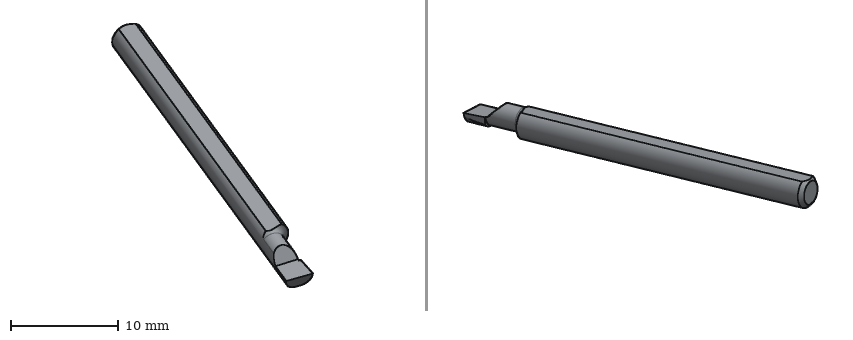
import cadquery as cq
import math

length = 38.1
shank_diameter = 3.15
height = 2.9
rear_chamfer = 0.42
neck_radius = 1.22
neck_axis_y = -0.45
neck_start = 32.58
shoulder_radius = 0.7
rake_floor_end = 35.65
head_start = 35.85
head_root_y = 0.95
tip_y = 1.15
end_setback = 0.1
clearance_angle = 8.0

shank_radius = shank_diameter / 2
flat_z = height - shank_radius
shoulder_start = neck_start - shoulder_radius
cut_reach = shank_diameter


def cylinder_along_x(start, end, radius, axis_y=0.0):
    """Round bar parallel to X."""
    return cq.Workplane("YZ", origin=(start, axis_y, 0)).circle(radius).extrude(end - start)


def flatted_shank():
    """Full-length round bar with a rear chamfer and a flat along the top."""
    bar = cylinder_along_x(0, length, shank_radius).faces("<X").chamfer(rear_chamfer)
    above_flat = (
        cq.Workplane("XY", origin=(0, 0, flat_z))
        .rect(2 * length, 2 * cut_reach)
        .extrude(cut_reach)
    )
    return bar.cut(above_flat)


def neck_envelope():
    """Space kept for the shank, the filleted shoulder and the eccentric neck."""
    behind = cylinder_along_x(0, shoulder_start, cut_reach)
    fillet_top = neck_radius + shoulder_radius
    arc_drop = shoulder_radius * math.sqrt(0.5)
    front = (
        cq.Workplane("XY", origin=(0, neck_axis_y, 0))
        .moveTo(shoulder_start, 0)
        .lineTo(shoulder_start, fillet_top)
        .threePointArc((neck_start - arc_drop, fillet_top - arc_drop), (neck_start, neck_radius))
        .lineTo(length, neck_radius)
        .lineTo(length, 0)
        .close()
        .revolve(360, (0, 0, 0), (1, 0, 0))
    )
    return behind.union(front)


def head_widening():
    """Widened cutting head, rounded underneath and reaching out to the cutting corner."""
    return cylinder_along_x(head_start, length, neck_radius, tip_y - neck_radius)


def side_clearance():
    """Space beyond the side of the head, leaning inwards below the cutting edge."""
    lean = cut_reach * math.tan(math.radians(clearance_angle))
    edge_angle = math.degrees(math.atan2(tip_y - head_root_y, length - head_start))
    return (
        cq.Workplane("YZ", origin=(length - cut_reach, tip_y, 0))
        .polyline([(lean, cut_reach), (-lean, -cut_reach), (cut_reach, -cut_reach), (cut_reach, cut_reach)])
        .close()
        .extrude(2 * cut_reach)
        .rotate((length, tip_y, 0), (length, tip_y, 1), edge_angle)
    )


def front_clearance():
    """Space ahead of the end face, which leans back from the cutting corner."""
    lean = cut_reach * math.tan(math.radians(clearance_angle))
    edge_angle = math.degrees(math.atan2(end_setback, tip_y + shank_radius))
    return (
        cq.Workplane("XZ", origin=(length, tip_y, 0))
        .polyline([(lean, cut_reach), (-lean, -cut_reach), (cut_reach, -cut_reach), (cut_reach, cut_reach)])
        .close()
        .extrude(cut_reach, both=True)
        .rotate((length, tip_y, 0), (length, tip_y, 1), -edge_angle)
    )


def rake_cut():
    """Everything above the rake face, with a 45 degree run-out at its rear."""
    return (
        cq.Workplane("XZ")
        .moveTo(rake_floor_end, 0)
        .lineTo(length + cut_reach, 0)
        .lineTo(length + cut_reach, cut_reach)
        .lineTo(rake_floor_end - cut_reach, cut_reach)
        .close()
        .extrude(cut_reach, both=True)
    )


shank = flatted_shank()
neck = shank.intersect(neck_envelope())
head = head_widening().intersect(shank).cut(side_clearance())
result = neck.union(head).cut(rake_cut()).cut(front_clearance())